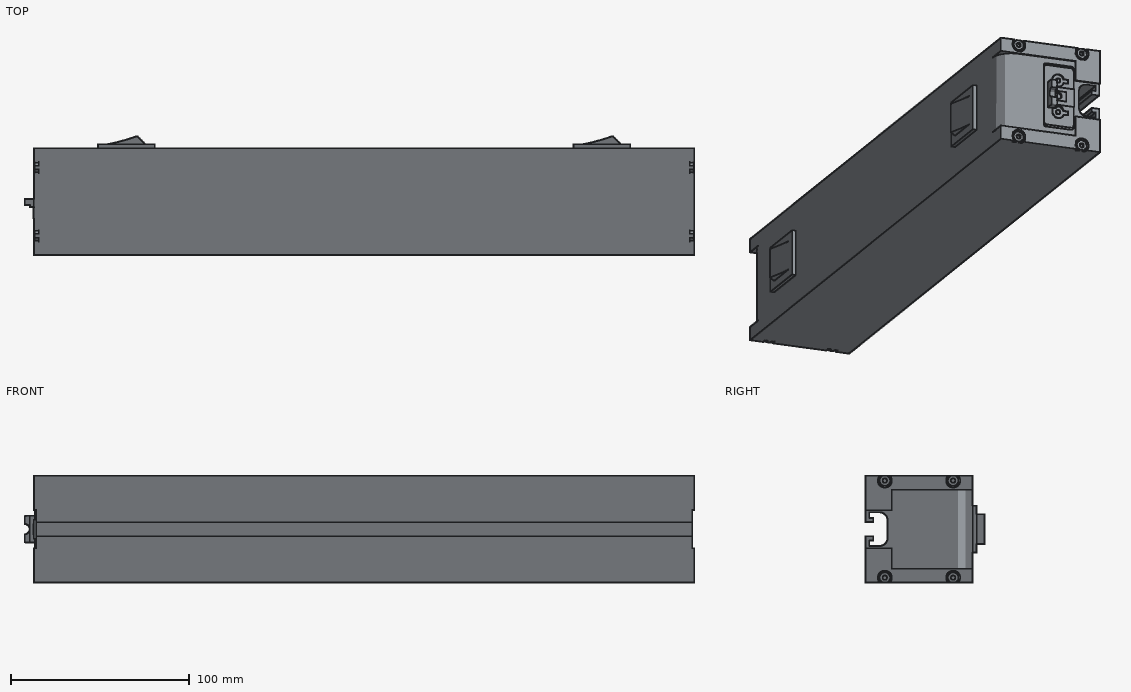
import cadquery as cq

total_length = 374.7
latch_reach = 5.2
bar_length = total_length - latch_reach
bar_size = 60.0
half_size = bar_size / 2
cap_thickness = 3.7

slot_opening = 8.0
slot_half_opening = slot_opening / 2
slot_half_width = 9.5
slot_depth = 12.5
slot_corner_radius = 4.5
lip_depth = 4.5
lip_web = 2.2
lip_half_end = 6.5

recess_depth = 1.0
recess_half_height = 22.0
recess_front = 14.5
recess_slot_height = 21.5
recess_slot_half_height = recess_slot_height / 2
back_round_radius = 11.2
back_round_start = bar_size - back_round_radius

screw_columns = (11.0, 49.0)
screw_edge_distance = 2.8
screw_pocket_diameter = 8.0
screw_pocket_depth = 2.5
screw_head_diameter = 6.0
screw_head_sink = 0.5
screw_socket_diameter = 2.5
screw_socket_depth = 1.5

switch_end_distance = 51.7
switch_length = 32.0
switch_height = 26.2
switch_flange_thickness = 2.2
rocker_height = 17.0
rocker_rise = 6.7
rocker_foot_left = -10.5
rocker_peak = 6.0
rocker_foot_right = 10.5
rocker_dip = 0.5

plate_front = 15.7
plate_back = 33.7
plinth_half_height = 18.7
plate_half_height = 17.5
plate_corner_radius = 1.5
layer_thickness = 0.5
contact_y = 25.0
contact_offset = 9.5
contact_diameter = 7.0
contact_pin_diameter = 2.5
contact_depth = 0.7
key_slot_width = 2.2
key_slot_end = 19.0
rib_half_height = 5.2
rib_back = 27.0
inner_rib_half_height = 2.8
inner_rib_front = 20.5
latch_front = 28.0
latch_back = 31.5
latch_half_height = 7.5
latch_notch_diameter = 5.5
latch_step_reach = 2.2
latch_edge_round = 0.7
centre_hole_diameter = 3.5


def box(x_range, y_range, z_range):
    """Box spanning the given (low, high) ranges."""
    sizes = [high - low for low, high in (x_range, y_range, z_range)]
    corner = (x_range[0], y_range[0], z_range[0])
    return cq.Workplane("XY").box(*sizes, centered=False).translate(corner)


def rod(x_start, x_end, y, z, diameter):
    """Cylinder along X."""
    plane = cq.Workplane("YZ", origin=(x_start, y, z))
    return plane.circle(diameter / 2).extrude(x_end - x_start)


def mirrored_to_right_end(shape):
    """Copy of a left end feature at the right end of the bar."""
    return shape.mirror("YZ", (bar_length / 2, 0, 0))


def t_slot():
    """Slot cutter with hooked lips and a rounded bottom."""
    opening = box((0, bar_length), (0, lip_depth), (-slot_half_opening, slot_half_opening))
    chamber = box((0, bar_length), (lip_web, slot_depth), (-slot_half_width, slot_half_width))
    chamber = chamber.edges("|X and >Y").fillet(slot_corner_radius)
    for z_range in ((slot_half_opening, lip_half_end), (-lip_half_end, -slot_half_opening)):
        chamber = chamber.cut(box((0, bar_length), (lip_web, lip_depth), z_range))
    return opening.union(chamber)


def end_recess():
    """Left end cutter: shallow floor that curves away into the back side."""
    wide = (
        cq.Workplane("XY", origin=(0, 0, -recess_half_height))
        .moveTo(0, recess_front)
        .lineTo(recess_depth, recess_front)
        .lineTo(recess_depth, back_round_start)
        .radiusArc((recess_depth + back_round_radius, bar_size), back_round_radius)
        .lineTo(0, bar_size)
        .close()
        .extrude(2 * recess_half_height)
    )
    narrow_height = (-recess_slot_half_height, recess_slot_half_height)
    narrow = box((0, recess_depth), (0, recess_front), narrow_height)
    return wide.union(narrow)


def add_screws(bar):
    """Pockets that break through the top and bottom sides, each holding a screw head."""
    for y in screw_columns:
        for side in (-1, 1):
            z = side * (half_size - screw_edge_distance)
            pocket = rod(0, screw_pocket_depth, y, z, screw_pocket_diameter)
            head = rod(screw_head_sink, screw_pocket_depth, y, z, screw_head_diameter)
            socket_end = screw_head_sink + screw_socket_depth
            socket = rod(screw_head_sink, socket_end, y, z, screw_socket_diameter)
            head = head.cut(socket).intersect(box((0, bar_length), (0, bar_size), (-half_size, half_size)))
            cutter = pocket.cut(head)
            bar = bar.cut(cutter, clean=False).cut(mirrored_to_right_end(cutter), clean=False)
    return bar


def rocker_switch(x_center):
    """Flange with a tilted rocker that has a slightly hollow face."""
    flange_top = bar_size + switch_flange_thickness
    flange = box(
        (x_center - switch_length / 2, x_center + switch_length / 2),
        (bar_size, flange_top),
        (-switch_height / 2, switch_height / 2),
    )
    peak_y = bar_size + rocker_rise
    face_middle = ((rocker_foot_left + rocker_peak) / 2, (flange_top + peak_y) / 2 - rocker_dip)
    rocker = (
        cq.Workplane("XY", origin=(x_center, 0, -rocker_height / 2))
        .moveTo(rocker_foot_left, flange_top)
        .threePointArc(face_middle, (rocker_peak, peak_y))
        .lineTo(rocker_foot_right, flange_top)
        .close()
        .extrude(rocker_height)
    )
    return flange.union(rocker)


def contact_cutter(z):
    """Round contact well around a pin, with a key slot toward the T-slot."""
    x_top = recess_depth - 2 * layer_thickness
    x_floor = x_top + contact_depth
    half_key = key_slot_width / 2
    well = rod(x_top, x_floor, contact_y, z, contact_diameter)
    key = box((x_top, x_floor), (key_slot_end, contact_y), (z - half_key, z + half_key))
    pin = rod(x_top, x_floor, contact_y, z, contact_pin_diameter)
    return well.union(key).cut(pin)


def connector():
    """Stepped plate with two contact wells, drilled centre ribs and a notched latch."""
    plinth_top = recess_depth - layer_thickness
    plate_top = plinth_top - layer_thickness
    y_range = (plate_front, plate_back)
    plinth = box((plinth_top, recess_depth), y_range, (-plinth_half_height, plinth_half_height))
    plinth = plinth.edges("|X").fillet(plate_corner_radius)
    plate = box((plate_top, plinth_top), y_range, (-plate_half_height, plate_half_height))
    body = plinth.union(plate.edges("|X").fillet(plate_corner_radius))
    for z in (-contact_offset, contact_offset):
        body = body.cut(contact_cutter(z))

    rib_top = plate_top - layer_thickness
    rib = box((rib_top, plate_top), (plate_front, rib_back), (-rib_half_height, rib_half_height))
    inner_rib = box(
        (rib_top - layer_thickness, rib_top),
        (inner_rib_front, rib_back),
        (-inner_rib_half_height, inner_rib_half_height),
    )
    z_range = (-latch_half_height, latch_half_height)
    latch = box((-latch_reach, plate_top), (latch_front, latch_back), z_range)
    latch = latch.faces("<X").edges("|Y").fillet(latch_edge_round)
    step = box((-latch_step_reach, plate_top), (rib_back, latch_front), z_range)
    notch = (
        cq.Workplane("XZ", origin=(-latch_reach, 0, 0))
        .circle(latch_notch_diameter / 2)
        .extrude(-bar_size)
    )
    centre_hole = rod(rib_top - layer_thickness, plinth_top, contact_y, 0, centre_hole_diameter)
    ribs = rib.union(inner_rib)
    return body.union(ribs).cut(centre_hole).union(latch.union(step).cut(notch))


half_range = (-half_size, half_size)
left_cap = box((0, cap_thickness), (0, bar_size), half_range)
right_cap = mirrored_to_right_end(left_cap)
bar = box((cap_thickness, bar_length - cap_thickness), (0, bar_size), half_range)

recess = end_recess()
for cutter in (t_slot(), recess, mirrored_to_right_end(recess)):
    bar = bar.cut(cutter)
    left_cap = left_cap.cut(cutter)
    right_cap = right_cap.cut(cutter)
bar = bar.union(left_cap, clean=False).union(right_cap, clean=False)
bar = add_screws(bar)

for x_center in (switch_end_distance, bar_length - switch_end_distance):
    bar = bar.union(rocker_switch(x_center), clean=False)

result = bar.union(connector(), clean=False)